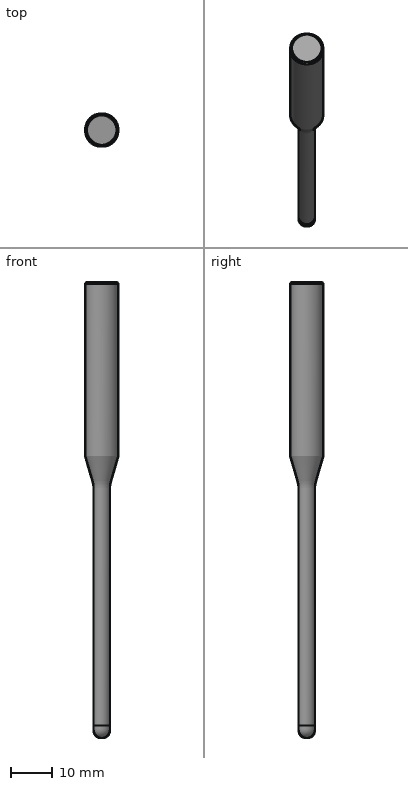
import cadquery as cq
import math

LENGTH = 110.0
SHANK_DIAMETER = 8.0
SHANK_LENGTH = 42.0
END_CHAMFER = 0.4
NECK_TOP = 60.3
FLARE_LENGTH = 1.6
TIP_LENGTH = 3.1

shank_radius = SHANK_DIAMETER / 2
ball_radius = shank_radius / 2
neck_radius = ball_radius
shank_bottom = LENGTH - SHANK_LENGTH

taper_angle = math.atan2(shank_radius - neck_radius, shank_bottom - NECK_TOP - FLARE_LENGTH / 2)
flare_radius = FLARE_LENGTH / math.sin(taper_angle)


def flare_point(angle):
    """Point (radius, height) on the flare where its slope from vertical is angle."""
    return (
        neck_radius + flare_radius * (1 - math.cos(angle)),
        NECK_TOP + flare_radius * math.sin(angle),
    )


def revolve_profile(profile):
    """Turn a closed (radius, height) outline about the Z axis."""
    return profile.close().revolve(360, (0, 0, 0), (0, 1, 0))


def make_shaft():
    """Chamfered shank, taper, flare and slender neck in one piece."""
    return revolve_profile(
        cq.Workplane("XZ")
        .moveTo(0, TIP_LENGTH)
        .lineTo(neck_radius, TIP_LENGTH)
        .lineTo(neck_radius, NECK_TOP)
        .threePointArc(flare_point(taper_angle / 2), flare_point(taper_angle))
        .lineTo(shank_radius, shank_bottom)
        .lineTo(shank_radius, LENGTH - END_CHAMFER)
        .lineTo(shank_radius - END_CHAMFER, LENGTH)
        .lineTo(0, LENGTH)
    )


def make_ball_tip():
    """Hemisphere with a short cylinder, seated on the end face of the neck."""
    arc_middle = ball_radius * math.sqrt(0.5)
    return revolve_profile(
        cq.Workplane("XZ")
        .moveTo(0, 0)
        .threePointArc((arc_middle, ball_radius - arc_middle), (ball_radius, ball_radius))
        .lineTo(ball_radius, TIP_LENGTH)
        .lineTo(0, TIP_LENGTH)
    )


shaft = make_shaft()
ball_tip = make_ball_tip()

result = cq.Compound.makeCompound([shaft.val(), ball_tip.val()])